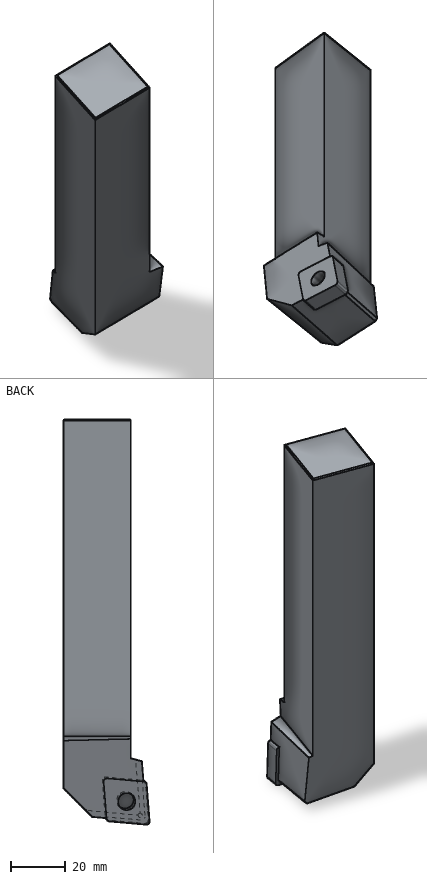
import cadquery as cq
import math


shank_width = 25.0
shank_top = 150.0
shank_end_chamfer = 0.5

head_height = 31.12
head_back_start = 32.8
lip_start = 24.66
shoulder_angle = 15.0
corner_cut_height = 13.6
tip_bevel = 1.1
block_margin = 15.0

rake_angle = 5.5
approach_angle = 5.0

inscribed_circle = 15.875
insert_thickness = 6.35
insert_hole = 6.35
nose_radius = 1.2
insert_overhang = 1.1
tip_x = -6.945
tip_z = 0.045

shoulder_slope = math.tan(math.radians(shoulder_angle))
rake_slope = math.tan(math.radians(rake_angle))

rake_corner_z = head_back_start - (head_height - shank_width) * shoulder_slope
nose_x = tip_x + nose_radius
nose_z = tip_z + nose_radius
nose_y = head_height - rake_slope * ((shank_width - nose_x) + (rake_corner_z - nose_z))

rake_plane = cq.Plane(
    origin=(nose_x, nose_y, nose_z),
    xDir=(1, rake_slope, 0),
    normal=(rake_slope, -1, rake_slope),
)

approach = math.radians(approach_angle)
side_edge = (math.sin(approach), math.cos(approach))
end_edge = (math.cos(approach), math.sin(approach))
point_angle = math.radians(90 - 2 * approach_angle)


def along_edges(start, end_distance, side_distance):
    """Point reached from start by going along the end edge and then along the side edge."""
    return (
        start[0] + end_distance * end_edge[0] + side_distance * side_edge[0],
        start[1] + end_distance * end_edge[1] + side_distance * side_edge[1],
    )


nose_setback = nose_radius / math.sin(point_angle)
sharp_point = along_edges((0, 0), -nose_setback, -nose_setback)
overhang_setback = insert_overhang / math.sin(point_angle)
flank_point = along_edges(sharp_point, overhang_setback, overhang_setback)
edge_length = inscribed_circle / math.sin(point_angle)


def make_insert_blank():
    outline = [
        sharp_point,
        along_edges(sharp_point, edge_length, 0),
        along_edges(sharp_point, edge_length, edge_length),
        along_edges(sharp_point, 0, edge_length),
    ]
    blank = cq.Workplane(rake_plane).polyline(outline).close().extrude(insert_thickness)
    corners = cq.selectors.ParallelDirSelector(rake_plane.zDir)
    return blank.edges(corners).fillet(nose_radius)


def make_insert():
    centre = along_edges(sharp_point, edge_length / 2, edge_length / 2)
    hole = cq.Workplane(rake_plane).center(*centre).circle(insert_hole / 2).extrude(insert_thickness)
    return make_insert_blank().cut(hole)


def make_head():
    front_outline = [
        (0, head_back_start),
        (0, lip_start),
        (-block_margin, lip_start - block_margin * shoulder_slope),
        (-block_margin, -block_margin),
        (shank_width - corner_cut_height - block_margin, -block_margin),
        (shank_width, corner_cut_height),
        (shank_width, head_back_start),
    ]
    block_height = head_height + block_margin
    block = cq.Workplane("XZ").polyline(front_outline).close().extrude(-block_height)

    side_outline = [
        (0, -block_margin),
        (0, head_back_start),
        (shank_width, head_back_start),
        (block_height, head_back_start - (block_height - shank_width) * shoulder_slope),
        (block_height, -block_margin),
    ]
    side_profile = (
        cq.Workplane("YZ").polyline(side_outline).close().extrude(2 * shank_width, both=True)
    )

    flank_length = 2 * shank_width
    flank_outline = [
        along_edges(flank_point, tip_bevel, 0),
        along_edges(flank_point, flank_length, 0),
        along_edges(flank_point, flank_length, flank_length),
        along_edges(flank_point, 0, flank_length),
        along_edges(flank_point, 0, tip_bevel),
    ]
    flanks = cq.Workplane(rake_plane).polyline(flank_outline).close().extrude(block_height)
    return block.intersect(side_profile).intersect(flanks)


def make_shank():
    shank = cq.Workplane("XY", origin=(0, 0, lip_start)).rect(
        shank_width, shank_width, centered=False
    )
    shank = shank.extrude(shank_top - lip_start)
    return shank.faces(">Z").chamfer(shank_end_chamfer)


holder = make_shank().union(make_head()).cut(make_insert_blank())
insert = make_insert()

result = cq.Compound.makeCompound([holder.solids().val(), insert.solids().val()])